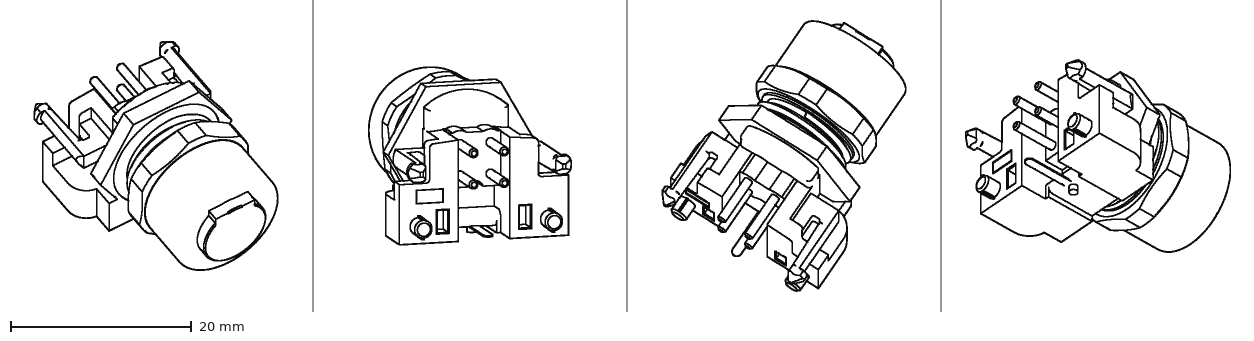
import cadquery as cq
import math


RIDGE_START = 6.1
FLANGE_START = 8.06
FLANGE_END = 10.05
SEAL_END = 10.57
NUT_START = 12.97
NUT_END = 16.04
CAP_END = 22.6
INSERT_END = 24.04

FLANGE_FLATS = 15.0
SEAL_RADIUS = 6.95
CAP_ROUND = 0.5
EDGE_ROUND = 0.45
RIDGE_RADIUS = 7.05
RIDGE_HALF_WIDTH = 4.69

THREAD_MAJOR = 6.0
THREAD_MINOR = 5.25
THREAD_PITCH = 1.0
THREAD_OVERLAP = 0.05
THREAD_ROOT_GAP = 0.08
THREAD_START = 10.05
THREAD_TURNS = 2.5
COLLAR_START = 12.7

NUT_FLATS = 14.0
NUT_CORNER_RADIUS = 7.5
NUT_FACE_RADIUS = 6.7
NUT_CHAMFER = 0.42
NUT_TURN = 26.4

CAP_RADIUS = 6.78
INSERT_RADIUS = 4.1
INSERT_CHAMFER = 0.15
KEY_INNER = 0.9
KEY_OUTER = 2.57
KEY_TOP = 4.0

BASE_Z = -8.5
HOUSING_HALF_WIDTH = 9.75
TAIL_HALF_WIDTH = 7.54
STEP_X = 2.04
REAR_TOP = -1.71
LEDGE_TOP = -3.81
CORNER_START = 5.06
CORNER_END = 7.52
POST_HALF_WIDTH = 6.28
POST_EDGE_TOP = 2.64
POST_INNER_TOP = 2.95
POST_ROUND = 0.5
POST_FOOT_ROUND = 0.4
RECESS_HALF_WIDTH = 2.97
CARRIER_X = 3.53
CARRIER_TOP = 3.03
BUMP_RADIUS = 1.5
POCKET_TOP = -3.14
POCKET_BUMP_TOP = -2.5
POCKET_BUMP_RADIUS = 1.0
POCKET_DEPTH = 2.5
SILL_TOP = -5.97
SILL_ROUND = 0.99
OPENING_HALF_WIDTH = 2.48
OPENING_TOP = -7.15
OPENING_INNER_TOP = -7.75

WINDOW_CENTRE_Y = 4.75
WINDOW_WIDTH = 1.5
WINDOW_BOTTOM = -7.52
WINDOW_HEIGHT = 2.75
WINDOW_DEPTH = 2.0
WINDOW_CHAMFER = 0.12
LABEL_CENTRE = (6.24, -3.22)
LABEL_SIZE = (3.05, 1.5)
LABEL_DEPTH = 0.1

ARM_HALF_HEIGHT = 1.0
ARM_END = 6.24
ARM_OUTER = 8.87
ARM_BULGE = 0.5
ARM_EDGE_ROUND = 0.4
ARM_NOSE_X = -3.49
ARM_NOSE_INNER = 8.05
ARM_NOSE_OUTER = 8.4
ARM_NOSE_RADIUS = 0.3
ARM_NOSE_BASE_RADIUS = 1.8
ARM_NECK_X = -2.7
ARM_BARB_OUTER = 9.4
ARM_BARB_TIP_X = -2.27
ARM_BARB_X = -1.72
ARM_INNER_TIP = 7.5
ARM_INNER_ROOT = 7.27
ARM_END_CHAMFER = (0.8, 0.5)
SLOT_INNER = 6.24
SLOT_END = 4.24
SLOT_ROUND = 0.25

PIN_TIP_X = -2.1
PIN_OFFSET = 1.77
PIN_RADIUS = 0.5
PIN_CHAMFER = 0.2
PIN_EMBED = 1.0
PEG_Y = 7.52
PEG_Z = -6.52
PEG_RADIUS = 1.0
PEG_LENGTH = 2.0
PEG_CHAMFER = 0.25
PEG_RIB_RADIUS = 1.2
PEG_RIB_WIDTH = 0.2
BLADE_HALF_WIDTH = 0.55
BLADE_THICKNESS = 0.15
BLADE_BOTTOM = -7.75
BLADE_TAPER = 0.6
STUD_RADIUS = 0.5
BLADE_TAIL_X = 5.0


def box(x0, x1, y0, y1, z0, z1):
    return cq.Workplane("XY").box(x1 - x0, y1 - y0, z1 - z0, centered=False).translate((x0, y0, z0))


def across(x):
    """Sketch plane across the axis at x: local axes are global Y and Z."""
    return cq.Workplane("YZ", origin=(x, 0, 0))


def disc(x0, x1, radius, y=0.0, z=0.0):
    return across(x0).center(y, z).circle(radius).extrude(x1 - x0)


def both_sides(solid):
    return solid.union(solid.mirror("XZ"))


def make_flange():
    corner_diameter = FLANGE_FLATS / math.cos(math.pi / 6)
    flange = across(FLANGE_START).polygon(6, corner_diameter).extrude(FLANGE_END - FLANGE_START)
    seal = disc(FLANGE_END, SEAL_END, SEAL_RADIUS).faces(">X").edges().fillet(EDGE_ROUND)
    return flange.union(seal)


def make_ridge():
    ridge = disc(RIDGE_START, FLANGE_START, RIDGE_RADIUS)
    upper = box(
        RIDGE_START, FLANGE_START, -RIDGE_HALF_WIDTH, RIDGE_HALF_WIDTH, LEDGE_TOP, RIDGE_RADIUS
    )
    ridge = ridge.intersect(upper)
    return ridge.faces("<X or >X").edges("not <Z").fillet(EDGE_ROUND)


def make_thread():
    core = disc(FLANGE_START, NUT_END, THREAD_MINOR)
    collar = disc(COLLAR_START, NUT_START, THREAD_MAJOR)
    root = THREAD_MINOR - THREAD_OVERLAP
    length = THREAD_TURNS * THREAD_PITCH
    helix = cq.Wire.makeHelix(THREAD_PITCH, length, root, lefthand=True)
    half_base = THREAD_PITCH / 2 - THREAD_ROOT_GAP / 2
    crest = (
        cq.Workplane("XZ")
        .polyline([(root, -half_base), (THREAD_MAJOR, 0), (root, half_base)])
        .close()
        .sweep(cq.Workplane(helix), isFrenet=True)
    )
    crest = crest.rotate((0, 0, 0), (0, 1, 0), 90).translate((THREAD_START, 0, 0))
    return core.union(crest).union(collar)


def make_nut():
    length = NUT_END - NUT_START
    corner_diameter = NUT_FLATS / math.cos(math.pi / 6)
    nut = across(NUT_START).polygon(6, corner_diameter).extrude(length)
    nut = nut.rotate((0, 0, 0), (1, 0, 0), NUT_TURN)
    envelope = (
        cq.Workplane("XY")
        .polyline(
            [
                (NUT_START, 0),
                (NUT_START, NUT_FACE_RADIUS),
                (NUT_START + NUT_CHAMFER, NUT_CORNER_RADIUS),
                (NUT_END - NUT_CHAMFER, NUT_CORNER_RADIUS),
                (NUT_END, NUT_FACE_RADIUS),
                (NUT_END, 0),
            ]
        )
        .close()
        .revolve(360, (0, 0, 0), (1, 0, 0))
    )
    return nut.intersect(envelope)


def make_cap():
    cap = disc(NUT_END, CAP_END, CAP_RADIUS).faces(">X").edges().fillet(CAP_ROUND)
    insert = disc(CAP_END, INSERT_END, INSERT_RADIUS).faces(">X").edges().chamfer(INSERT_CHAMFER)
    key = box(CAP_END, INSERT_END, KEY_INNER, KEY_OUTER, 0, KEY_TOP)
    return cap.union(insert).union(both_sides(key))


def make_base():
    rear = box(0, STEP_X, -HOUSING_HALF_WIDTH, HOUSING_HALF_WIDTH, BASE_Z, REAR_TOP)
    middle = box(STEP_X, CORNER_END, -HOUSING_HALF_WIDTH, HOUSING_HALF_WIDTH, BASE_Z, LEDGE_TOP)
    middle = middle.edges("|Z and >X").fillet(CORNER_END - CORNER_START)
    tail = box(CORNER_START, FLANGE_END, -TAIL_HALF_WIDTH, TAIL_HALF_WIDTH, BASE_Z, LEDGE_TOP)
    return rear.union(middle).union(tail)


def make_posts():
    """Twin posts at the rear, and the narrower block joining them to the ridge."""
    outline = [
        (0, LEDGE_TOP),
        (POST_HALF_WIDTH, LEDGE_TOP),
        (POST_HALF_WIDTH, POST_EDGE_TOP),
        (RECESS_HALF_WIDTH, POST_INNER_TOP),
        (0, POST_INNER_TOP),
    ]
    profile = across(0).polyline(outline).close()
    post = profile.extrude(STEP_X).edges("|X").edges(">Y").edges(">Z").fillet(POST_ROUND)
    foot_y = POST_HALF_WIDTH + POST_FOOT_ROUND
    foot_z = REAR_TOP + POST_FOOT_ROUND
    foot = box(0, STEP_X, POST_HALF_WIDTH, foot_y, REAR_TOP, foot_z)
    foot = foot.cut(disc(0, STEP_X, POST_FOOT_ROUND, foot_y, foot_z))
    neck = across(STEP_X).polyline(outline).close().extrude(FLANGE_START - STEP_X)
    neck = neck.intersect(box(STEP_X, FLANGE_START, 0, RIDGE_HALF_WIDTH, LEDGE_TOP, POST_INNER_TOP))
    return both_sides(post.union(foot).union(neck))


def make_recess():
    return box(0, CARRIER_X, -RECESS_HALF_WIDTH, RECESS_HALF_WIDTH, BASE_Z, POST_INNER_TOP)


def make_carrier_top():
    """Top of the contact carrier, raised over the two upper pins."""
    carrier_end = RIDGE_START + EDGE_ROUND
    carrier = box(
        CARRIER_X, carrier_end, -RECESS_HALF_WIDTH, RECESS_HALF_WIDTH, PIN_OFFSET, CARRIER_TOP
    )
    bump = disc(CARRIER_X, carrier_end, BUMP_RADIUS, PIN_OFFSET, PIN_OFFSET)
    return carrier.union(both_sides(bump))


def make_carrier_pocket():
    """Hollow under the pins, floored by a sill with a rounded front edge."""
    pocket_end = CARRIER_X + POCKET_DEPTH
    pocket = (
        cq.Workplane("XZ", origin=(0, RECESS_HALF_WIDTH, 0))
        .moveTo(CARRIER_X, POCKET_TOP)
        .lineTo(pocket_end, POCKET_TOP)
        .lineTo(pocket_end, SILL_TOP)
        .lineTo(CARRIER_X + SILL_ROUND, SILL_TOP)
        .radiusArc((CARRIER_X, SILL_TOP - SILL_ROUND), -SILL_ROUND)
        .close()
        .extrude(2 * RECESS_HALF_WIDTH)
    )
    bump = disc(CARRIER_X, pocket_end, POCKET_BUMP_RADIUS, 0, POCKET_BUMP_TOP - POCKET_BUMP_RADIUS)
    return pocket.union(bump)


def make_bottom_opening():
    rounding = OPENING_TOP - OPENING_INNER_TOP
    return (
        cq.Workplane("XZ", origin=(0, OPENING_HALF_WIDTH, 0))
        .moveTo(CARRIER_X, BASE_Z)
        .lineTo(CARRIER_X, OPENING_TOP)
        .radiusArc((CARRIER_X + rounding, OPENING_INNER_TOP), -rounding)
        .lineTo(FLANGE_END, OPENING_INNER_TOP)
        .lineTo(FLANGE_END, BASE_Z)
        .close()
        .extrude(2 * OPENING_HALF_WIDTH)
    )


def window_prism(width, height, depth, taper=0):
    centre_z = WINDOW_BOTTOM + WINDOW_HEIGHT / 2
    return across(0).center(WINDOW_CENTRE_Y, centre_z).rect(width, height).extrude(depth, taper=taper)


def make_windows():
    mouth = window_prism(WINDOW_WIDTH, WINDOW_HEIGHT, WINDOW_CHAMFER, taper=45)
    inner = window_prism(
        WINDOW_WIDTH - 2 * WINDOW_CHAMFER, WINDOW_HEIGHT - 2 * WINDOW_CHAMFER, WINDOW_DEPTH
    )
    return both_sides(mouth.union(inner))


def make_label_recess():
    return across(0).center(*LABEL_CENTRE).rect(*LABEL_SIZE).extrude(LABEL_DEPTH)


def barrel(x0, x1, outer):
    """Bar along X whose outer long side bulges in a shallow arc."""
    shoulder = outer - ARM_BULGE
    return (
        across(x0)
        .moveTo(RIDGE_HALF_WIDTH, -ARM_HALF_HEIGHT)
        .lineTo(shoulder, -ARM_HALF_HEIGHT)
        .threePointArc((outer, 0), (shoulder, ARM_HALF_HEIGHT))
        .lineTo(RIDGE_HALF_WIDTH, ARM_HALF_HEIGHT)
        .close()
        .extrude(x1 - x0)
    )


def arm_plate(points):
    plate = cq.Workplane("XY", origin=(0, 0, -ARM_HALF_HEIGHT)).polyline(points).close()
    return plate.extrude(2 * ARM_HALF_HEIGHT)


def round_inner_side(plate):
    return plate.faces("<Y").edges("not |Z").fillet(ARM_EDGE_ROUND)


def make_arm_root():
    """Flat slab carrying the arm, slotted along the inner side of the stem."""
    chamfer_x, chamfer_y = ARM_END_CHAMFER
    slab = arm_plate(
        [
            (STEP_X, RIDGE_HALF_WIDTH),
            (STEP_X, ARM_INNER_ROOT),
            (SLOT_END - SLOT_ROUND, ARM_INNER_ROOT),
            (SLOT_END - SLOT_ROUND, ARM_OUTER),
            (ARM_END - chamfer_x, ARM_OUTER),
            (ARM_END, ARM_OUTER - chamfer_y),
            (ARM_END, RIDGE_HALF_WIDTH),
        ]
    )
    slot = box(0, SLOT_END, SLOT_INNER, ARM_INNER_ROOT, -ARM_HALF_HEIGHT, ARM_HALF_HEIGHT)
    slot = slot.edges("|Z and >X").fillet(SLOT_ROUND)
    return slab.cut(slot).intersect(barrel(STEP_X, ARM_END, ARM_OUTER))


def make_arm_stem():
    stem = arm_plate(
        [
            (ARM_BARB_X, ARM_INNER_TIP),
            (ARM_BARB_X, ARM_OUTER),
            (SLOT_END, ARM_OUTER),
            (SLOT_END, ARM_INNER_ROOT),
        ]
    )
    return round_inner_side(stem).intersect(barrel(ARM_BARB_X, SLOT_END, ARM_OUTER))


def make_arm_head():
    """Barbed tip with a conical nose."""
    head = arm_plate(
        [
            (ARM_BARB_X, ARM_INNER_TIP),
            (ARM_NECK_X, ARM_INNER_TIP),
            (ARM_NOSE_X, ARM_NOSE_INNER),
            (ARM_NOSE_X, ARM_NOSE_OUTER),
            (ARM_BARB_TIP_X, ARM_BARB_OUTER),
            (ARM_BARB_X, ARM_BARB_OUTER),
        ]
    )
    head = round_inner_side(head).intersect(barrel(ARM_NOSE_X, ARM_BARB_X, ARM_BARB_OUTER))
    nose_y = (ARM_NOSE_INNER + ARM_NOSE_OUTER) / 2
    nose = cq.Workplane(
        cq.Solid.makeCone(
            ARM_NOSE_RADIUS,
            ARM_NOSE_BASE_RADIUS,
            ARM_BARB_X - ARM_NOSE_X,
            cq.Vector(ARM_NOSE_X, nose_y, 0),
            cq.Vector(1, 0, 0),
        )
    )
    return head.intersect(nose)


def make_arm():
    return make_arm_root().union(make_arm_stem()).union(make_arm_head())


def make_pins():
    pins = cq.Workplane("XY")
    for y in (-PIN_OFFSET, PIN_OFFSET):
        for z in (-PIN_OFFSET, PIN_OFFSET):
            pin = disc(PIN_TIP_X, CARRIER_X + PIN_EMBED, PIN_RADIUS, y, z)
            pins = pins.add(pin.faces("<X").edges().chamfer(PIN_CHAMFER))
    return pins.combine()


def make_pegs():
    peg = disc(-PEG_LENGTH, 0, PEG_RADIUS, PEG_Y, PEG_Z).faces("<X").edges().chamfer(PEG_CHAMFER)
    rib = box(
        -PEG_LENGTH + PEG_CHAMFER,
        0,
        PEG_Y - PEG_RIB_WIDTH / 2,
        PEG_Y + PEG_RIB_WIDTH / 2,
        PEG_Z - PEG_RIB_RADIUS,
        PEG_Z + PEG_RIB_RADIUS,
    )
    return both_sides(peg.union(rib))


def make_blade():
    """Flat earth contact with a rounded tip, and the stud reaching down from its root."""
    shoulder_x = PIN_TIP_X + BLADE_TAPER
    blade = (
        cq.Workplane("XY", origin=(0, 0, BLADE_BOTTOM))
        .moveTo(BLADE_TAIL_X, -BLADE_HALF_WIDTH)
        .lineTo(shoulder_x, -BLADE_HALF_WIDTH)
        .threePointArc((PIN_TIP_X, 0), (shoulder_x, BLADE_HALF_WIDTH))
        .lineTo(BLADE_TAIL_X, BLADE_HALF_WIDTH)
        .close()
        .extrude(BLADE_THICKNESS)
    )
    stud = (
        cq.Workplane("XY", origin=(BLADE_TAIL_X, 0, BASE_Z))
        .circle(STUD_RADIUS)
        .extrude(OPENING_TOP - BASE_Z)
    )
    return blade.union(stud)


housing = make_base().union(make_posts()).union(both_sides(make_arm()))
housing = housing.cut(make_recess()).union(make_carrier_top())
housing = housing.cut(make_carrier_pocket()).cut(make_windows()).cut(make_label_recess())
housing = housing.union(make_ridge()).union(make_flange()).cut(make_bottom_opening())
housing = housing.union(make_pins()).union(make_pegs()).union(make_blade())

result = housing.union(make_thread()).union(make_nut()).union(make_cap())